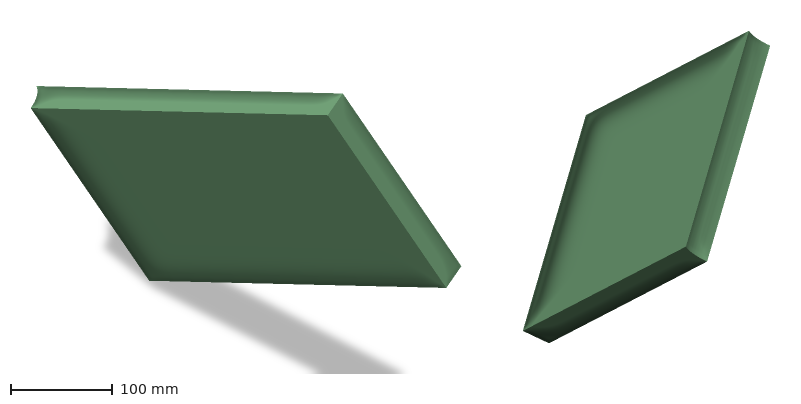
import cadquery as cq
import math

span_x = 506.0
span_y = 74.5

roll = math.radians(37.8)
yaw = math.radians(5)
width = 230.5
length = (span_x - width * math.sin(roll)) / math.cos(roll)
thickness = span_y - span_x * math.tan(yaw)

cove_depth = 14.0
cove_sag = 4.0


def point_on_back(along, across, forward=0.0):
    """Point at distances from the top corner, moved forward (-Y) from the back face."""
    x = -along * math.cos(roll) + across * math.sin(roll)
    z = -along * math.sin(roll) - across * math.cos(roll)
    y = -x * math.tan(yaw) - forward
    return cq.Vector(x, y, z)


back_top = point_on_back(0, 0)
front_top = point_on_back(0, 0, thickness)
back_end = point_on_back(length, 0)
front_end = point_on_back(length - cove_depth, 0, thickness)

side_normal = point_on_back(0, 1) - point_on_back(0, 0)
side_normal = cq.Vector(side_normal.x, 0, side_normal.z)
chord = front_end - back_end
inward = side_normal.cross(chord).normalized()
if inward.dot(back_top - back_end) < 0:
    inward = inward * -1
arc_middle = (back_end + front_end) * 0.5 + inward * cove_sag

side_outline = cq.Wire.assembleEdges([
    cq.Edge.makeLine(back_top, back_end),
    cq.Edge.makeThreePointArc(back_end, arc_middle, front_end),
    cq.Edge.makeLine(front_end, front_top),
    cq.Edge.makeLine(front_top, back_top),
])

across_width = point_on_back(0, width) - back_top
slab = cq.Solid.extrudeLinear(side_outline, [], across_width)
result = cq.Workplane("XY").newObject([slab])